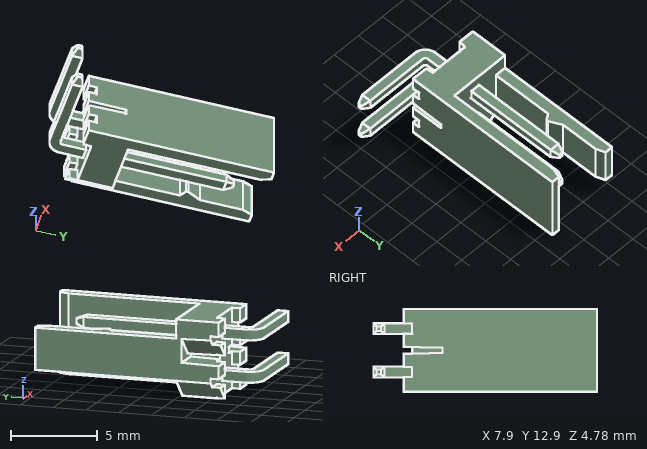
import cadquery as cq
import math


body_width = 4.97
body_height = 4.78
body_front = 1.75
recess_floor = 2.24
base_back = 4.34
body_back = 12.92
mid_x = body_width / 2
mid_z = body_height / 2

pin_pitch = 2.51
pin_width = 0.65
pin_tip_width = 0.27
pin_tip_length = 0.52
pin_bend_radius = 0.83
pin_back = 11.21
pin_reach = 7.9
pin_heights = [mid_z - pin_pitch / 2, mid_z + pin_pitch / 2]
lower_pin_z, upper_pin_z = pin_heights

wall_thickness = 0.76
wall_lead_in_depth = 0.22
wall_lead_in_length = 0.61
latch_depth = 0.4
latch_back = 9.73
latch_crest_back = 8.91
latch_crest_front = 8.77
latch_front = 8.51

foot_root_gap = 2.67
foot_end_gap = 2.76
foot_notch_height = 0.57

slot_end_back = 4.0
slot_floor_width = 0.31
slot_left_depth = 1.68
slot_right_depth = 1.68
draft_angle = 1.0
draft = (slot_end_back - body_front) * math.tan(math.radians(draft_angle))
bevel_leg = lower_pin_z


def prism_z(points, z_low, z_high):
    """Extrude an XY outline between two heights."""
    return cq.Workplane("XY", origin=(0, 0, z_low)).polyline(points).close().extrude(z_high - z_low)


def prism_y(points, y_front, y_back):
    """Extrude an XZ outline between two Y positions."""
    return cq.Workplane("XZ", origin=(0, y_back, 0)).polyline(points).close().extrude(y_back - y_front)


def block(x_range, y_range, z_range):
    """Box given by its limits along each axis."""
    ranges = (x_range, y_range, z_range)
    corner = tuple(low for low, high in ranges)
    size = [high - low for low, high in ranges]
    return cq.Workplane("XY").box(*size, centered=False).translate(corner)


def make_base():
    """Block that holds the pins, with a drafted recess between the feet."""
    base = block((0, body_width), (body_front, base_back), (0, body_height))
    recess = prism_z(
        [
            (mid_x - foot_end_gap / 2, body_front),
            (mid_x + foot_end_gap / 2, body_front),
            (mid_x + foot_root_gap / 2, recess_floor),
            (mid_x - foot_root_gap / 2, recess_floor),
        ],
        0,
        body_height,
    )
    return base.cut(recess)


def make_latch_wall():
    """Left wall, between the two pin heights, with a latch bump and a lead-in."""
    crest_x = wall_thickness + latch_depth
    outline = [
        (0, base_back),
        (0, body_back),
        (wall_thickness - wall_lead_in_depth, body_back),
        (wall_thickness, body_back - wall_lead_in_length),
        (wall_thickness, latch_back),
        (crest_x, latch_crest_back),
        (crest_x, latch_crest_front),
        (wall_thickness, latch_front),
        (wall_thickness, base_back),
    ]
    return prism_z(outline, lower_pin_z, upper_pin_z)


def make_plain_wall():
    """Right wall, full height, with a lead-in."""
    inner_x = body_width - wall_thickness
    outline = [
        (body_width, base_back),
        (body_width, body_back),
        (inner_x + wall_lead_in_depth, body_back),
        (inner_x, body_back - wall_lead_in_length),
        (inner_x, base_back),
    ]
    return prism_z(outline, 0, body_height)


def make_lower_bevel():
    """Cutter for the bevel along the lower left edge of the base."""
    return prism_y([(0, 0), (bevel_leg, 0), (0, bevel_leg)], body_front, base_back)


def left_pocket_outline(growth):
    """XZ outline of the left slot and the bevel above it, with the drafted sides moved out."""
    slot_top = mid_z + slot_floor_width / 2 + growth
    slot_bottom = mid_z - slot_floor_width / 2 - growth
    bevel_top = upper_pin_z + growth * math.sqrt(2)
    return [
        (0, slot_bottom),
        (slot_left_depth, slot_bottom),
        (slot_left_depth, slot_top),
        (bevel_top - slot_top, slot_top),
        (0, bevel_top),
    ]


def right_slot_outline(growth):
    """XZ outline of the right slot, with the drafted sides moved out."""
    half_width = slot_floor_width / 2 + growth
    inner_x = body_width - slot_right_depth
    return [
        (inner_x, mid_z - half_width),
        (body_width, mid_z - half_width),
        (body_width, mid_z + half_width),
        (inner_x, mid_z + half_width),
    ]


def make_drafted_pocket(outline):
    """Cutter that widens with the draft from the slot floor to the foot faces."""
    return (
        cq.Workplane("XZ", origin=(0, slot_end_back, 0))
        .polyline(outline(0))
        .close()
        .workplane(offset=slot_end_back - body_front)
        .polyline(outline(draft))
        .close()
        .loft(ruled=True)
    )


def make_foot_notch(pin_z):
    """Cutter that splits the feet at the height of a pin."""
    z_range = (pin_z - foot_notch_height / 2, pin_z + foot_notch_height / 2)
    return block((0, body_width), (body_front, recess_floor), z_range)


def make_pin_hole(pin_z):
    """Cutter for the square hole that a pin fills."""
    x_range = (mid_x - pin_width / 2, mid_x + pin_width / 2)
    z_range = (pin_z - pin_width / 2, pin_z + pin_width / 2)
    return block(x_range, (recess_floor, base_back), z_range)


def make_housing():
    housing = make_base().union(make_latch_wall()).union(make_plain_wall())
    housing = housing.cut(make_lower_bevel())
    housing = housing.cut(make_drafted_pocket(left_pocket_outline))
    housing = housing.cut(make_drafted_pocket(right_slot_outline))
    for pin_z in pin_heights:
        housing = housing.cut(make_foot_notch(pin_z)).cut(make_pin_hole(pin_z))
    return housing


def make_pin_tip(plane):
    """Pointed end that grows along the normal of the plane."""
    return (
        cq.Workplane(plane)
        .rect(pin_width, pin_width)
        .workplane(offset=pin_tip_length)
        .rect(pin_tip_width, pin_tip_width)
        .loft(ruled=True)
    )


def make_pin(pin_z):
    """Square pin bent through a right angle, pointed at both ends."""
    left_x = mid_x - pin_width / 2
    right_x = mid_x + pin_width / 2
    shaft_back = pin_back - pin_tip_length
    shaft_end = pin_reach - pin_tip_length
    inner_radius = pin_bend_radius - pin_width
    shaft = (
        cq.Workplane("XY", origin=(0, 0, pin_z))
        .moveTo(left_x, shaft_back)
        .lineTo(left_x, pin_bend_radius)
        .radiusArc((left_x + pin_bend_radius, 0), -pin_bend_radius)
        .lineTo(shaft_end, 0)
        .lineTo(shaft_end, pin_width)
        .lineTo(right_x + inner_radius, pin_width)
        .radiusArc((right_x, pin_width + inner_radius), inner_radius)
        .lineTo(right_x, shaft_back)
        .close()
        .extrude(pin_width / 2, both=True)
    )
    mating_plane = cq.Plane(origin=(mid_x, shaft_back, pin_z), xDir=(1, 0, 0), normal=(0, 1, 0))
    solder_plane = cq.Plane(origin=(shaft_end, pin_width / 2, pin_z), xDir=(0, 1, 0), normal=(1, 0, 0))
    return shaft.union(make_pin_tip(mating_plane)).union(make_pin_tip(solder_plane))


housing = make_housing()
pins = [make_pin(pin_z) for pin_z in pin_heights]

result = cq.Compound.makeCompound([housing.val(), *[pin.val() for pin in pins]])